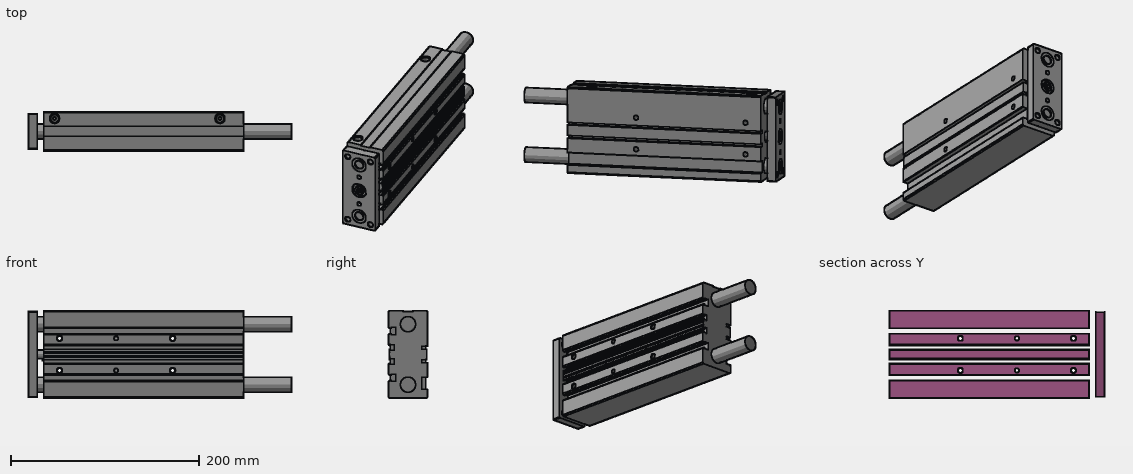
import cadquery as cq
import math


total_length = 279.5
plate_thickness = 9.5
housing_start = 16.2
housing_length = 212.5

housing_width = 42.0
housing_height = 93.0
half_width = housing_width / 2
half_height = housing_height / 2
corner_chamfer = 1.5

slot_lip = 1.5
outer_slot_low = 20.7
outer_slot_high = 29.0
outer_neck_depth = 3.0
outer_slot_depth = 7.8
inner_neck_depth = 2.2
inner_slot_depth = 6.1
undercut = 1.0
centre_land_half = 5.5
centre_land_drop = 0.8
front_inner_slot_half = 10.5
back_inner_slot_half = 8.7
vee_offset = 2.2
vee_width = 1.7
vee_depth = 0.42

back_slot_depth = 6.1
back_recess_low = -37.5
back_recess_high = -23.8
back_recess_lip = 0.5

top_recess_width = 10.5
top_recess_depth = 0.8

mount_hole_z = 17.0
mount_hole_offset = 16.8
mount_hole_pitch = 120.2
mount_hole_diameter = 5.0
mount_hole_mouth = 6.1
mount_mouth_depth = 0.5
dowel_diameter = 4.5
dowel_depth = 5.0
drill_point_angle = 118.0

port_y = 13.7
port_offset = 11.5
port_pitch = 175.8
port_diameter = 10.5
port_rim_chamfer = 1.0
port_depth = 10.0
port_duct_diameter = 3.4
port_cone_depth = 2.5
port_duct_depth = 5.5

boss_diameter = 1.7
boss_length = 1.7
boss_z = -6.0

guide_diameter = 16.2
guide_z = 32.1
guide_recess_diameter = 9.8
guide_recess_depth = 1.0
piston_diameter = 9.8
piston_bore_depth = 139.8
hex_flats = 5.0
hex_depth = 3.4

plate_width = 38.0
plate_height = 91.5
plate_chamfer = 0.8
plate_screw_y = 13.0
plate_screw_z = 39.0
plate_screw_diameter = 5.3
plate_screw_mouth = 6.5
plate_mouth_depth = 0.5
plate_dowel_z = 16.8
piston_recess_diameter = guide_diameter
piston_recess_depth = 3.4


def x_cylinder(diameter, start, length, y=0.0, z=0.0):
    """A cylinder along +X that starts at X = start."""
    base = cq.Vector(start, y, z)
    return cq.Workplane(cq.Solid.makeCylinder(diameter / 2, length, base, cq.Vector(1, 0, 0)))


def drilled_hole(diameter, depth, point, direction):
    """A blind hole with the conical end that a drill leaves."""
    start = cq.Vector(*point)
    axis = cq.Vector(*direction)
    radius = diameter / 2
    tip_length = radius / math.tan(math.radians(drill_point_angle / 2))
    bore = cq.Solid.makeCylinder(radius, depth, start, axis)
    tip = cq.Solid.makeCone(radius, 0, tip_length, start + axis * depth, axis)
    return cq.Workplane(bore).union(cq.Workplane(tip))


def chamfered_mouth(hole_diameter, mouth_diameter, depth, point, direction):
    """The conical lead-in of a hole."""
    start = cq.Vector(*point)
    axis = cq.Vector(*direction)
    cone = cq.Solid.makeCone(mouth_diameter / 2, hole_diameter / 2, depth, start, axis)
    return cq.Workplane(cone)


def along_housing(points):
    """A prism of the housing's length from an outline of (Y, Z) points."""
    return cq.Workplane("YZ", origin=(housing_start, 0, 0)).polyline(points).close().extrude(housing_length)


def housing_bar(y_low, y_high, z_low, z_high):
    """A rectangular prism of the housing's length."""
    return along_housing([(y_low, z_low), (y_high, z_low), (y_high, z_high), (y_low, z_high)])


def slot_undercut(low, high, neck_depth, depth):
    """The wide inner part of a front T slot whose neck spans low to high in Z."""
    return housing_bar(neck_depth - half_width, depth - half_width, low - undercut, high + undercut)


def outer_sensor_slot():
    """The upper T slot of the front side, with both lips chamfered."""
    neck_low = outer_slot_low + slot_lip
    neck_high = outer_slot_high - slot_lip
    neck = along_housing([
        (-half_width, outer_slot_low),
        (slot_lip - half_width, neck_low),
        (outer_neck_depth - half_width, neck_low),
        (outer_neck_depth - half_width, neck_high),
        (slot_lip - half_width, neck_high),
        (-half_width, outer_slot_high),
    ])
    return neck.union(slot_undercut(neck_low, neck_high, outer_neck_depth, outer_slot_depth))


def inner_sensor_slot():
    """The T slot next to the centre land, with only its outer lip chamfered."""
    neck_high = front_inner_slot_half - slot_lip
    neck = along_housing([
        (-half_width, centre_land_half),
        (inner_neck_depth - half_width, centre_land_half),
        (inner_neck_depth - half_width, neck_high),
        (slot_lip - half_width, neck_high),
        (-half_width, front_inner_slot_half),
    ])
    return neck.union(slot_undercut(centre_land_half, neck_high, inner_neck_depth, inner_slot_depth))


def land_vee():
    """One of the two V grooves in the front centre land."""
    land_y = centre_land_drop - half_width
    return along_housing([
        (land_y, vee_offset - vee_width / 2),
        (land_y + vee_depth, vee_offset),
        (land_y, vee_offset + vee_width / 2),
    ])


def cut_pair(body, upper_cut):
    """Cut a prism and its mirror image below Z = 0."""
    return body.cut(upper_cut).cut(upper_cut.mirror("XY"))


def cut_front_side(body):
    body = body.cut(housing_bar(-half_width, centre_land_drop - half_width, -centre_land_half, centre_land_half))
    for groove in (outer_sensor_slot(), inner_sensor_slot(), land_vee()):
        body = cut_pair(body, groove)
    return body


def cut_back_side(body):
    floor = half_width - back_slot_depth
    body = body.cut(housing_bar(half_width - centre_land_drop, half_width, -centre_land_half, centre_land_half))
    body = cut_pair(body, housing_bar(floor, half_width, centre_land_half, back_inner_slot_half))
    lip_y = half_width - back_recess_lip
    return body.cut(along_housing([
        (half_width, back_recess_low),
        (lip_y, back_recess_low + back_recess_lip),
        (floor, back_recess_low + back_recess_lip),
        (floor, back_recess_high - back_recess_lip),
        (lip_y, back_recess_high - back_recess_lip),
        (half_width, back_recess_high),
    ]))


def cut_top_recess(body):
    recess_half = top_recess_width / 2
    return body.cut(housing_bar(-recess_half, recess_half, half_height - top_recess_depth, half_height))


def cut_mounting_holes(body):
    """Four screw holes through the width, and a dowel hole midway in each row."""
    inward = (0, 1, 0)
    first_x = housing_start + mount_hole_offset
    for z in (-mount_hole_z, mount_hole_z):
        for x in (first_x, first_x + mount_hole_pitch):
            front = (x, -half_width, z)
            hole = cq.Solid.makeCylinder(
                mount_hole_diameter / 2, housing_width, cq.Vector(*front), cq.Vector(*inward))
            body = body.cut(cq.Workplane(hole))
            body = body.cut(chamfered_mouth(
                mount_hole_diameter, mount_hole_mouth, mount_mouth_depth, front, inward))
        dowel_x = first_x + mount_hole_pitch / 2
        body = body.cut(drilled_hole(dowel_diameter, dowel_depth, (dowel_x, -half_width, z), inward))
    return body


def cut_air_ports(body):
    down = (0, 0, -1)
    axis = cq.Vector(*down)
    bore_radius = port_diameter / 2 - port_rim_chamfer
    for x in (housing_start + port_offset, housing_start + port_offset + port_pitch):
        rim = (x, port_y, half_height)
        body = body.cut(chamfered_mouth(
            2 * bore_radius, port_diameter, port_rim_chamfer, rim, down))
        bore_end = cq.Vector(x, port_y, half_height - port_depth)
        bore = cq.Solid.makeCylinder(bore_radius, port_depth, cq.Vector(*rim), axis)
        cone = cq.Solid.makeCone(bore_radius, port_duct_diameter / 2, port_cone_depth, bore_end, axis)
        duct = cq.Solid.makeCylinder(port_duct_diameter / 2, port_cone_depth + port_duct_depth, bore_end, axis)
        for cutter in (bore, cone, duct):
            body = body.cut(cq.Workplane(cutter))
    return body


def make_housing():
    body = housing_bar(-half_width, half_width, -half_height, half_height)
    body = body.edges("|X").chamfer(corner_chamfer)
    body = cut_front_side(body)
    body = cut_back_side(body)
    body = cut_top_recess(body)
    for z in (-guide_z, guide_z):
        body = body.cut(x_cylinder(guide_diameter, housing_start, housing_length, z=z))
    body = body.cut(x_cylinder(piston_diameter, housing_start, piston_bore_depth))
    body = cut_mounting_holes(body)
    body = cut_air_ports(body)
    return body.union(x_cylinder(boss_diameter, housing_start - boss_length, boss_length, z=boss_z))


def make_plate():
    plate = cq.Workplane("YZ").rect(plate_width, plate_height).extrude(plate_thickness)
    plate = plate.edges("|X").chamfer(plate_chamfer)
    for z in (-guide_z, guide_z):
        plate = plate.cut(x_cylinder(guide_diameter, 0, plate_thickness, z=z))
    plate = plate.cut(x_cylinder(piston_diameter, 0, plate_thickness))
    plate = plate.cut(x_cylinder(piston_recess_diameter, 0, piston_recess_depth))
    for y in (-plate_screw_y, plate_screw_y):
        for z in (-plate_screw_z, plate_screw_z):
            plate = plate.cut(x_cylinder(plate_screw_diameter, 0, plate_thickness, y, z))
            plate = plate.cut(chamfered_mouth(
                plate_screw_diameter, plate_screw_mouth, plate_mouth_depth, (0, y, z), (1, 0, 0)))
    for z in (-plate_dowel_z, plate_dowel_z):
        plate = plate.cut(drilled_hole(dowel_diameter, dowel_depth, (0, 0, z), (1, 0, 0)))
    return plate


def make_guide_rod(z):
    """A guide rod flush with the plate, with a shallow round recess in its front end."""
    rod = x_cylinder(guide_diameter, 0, total_length, z=z)
    return rod.cut(x_cylinder(guide_recess_diameter, 0, guide_recess_depth, z=z))


def make_piston_rod():
    """The piston rod, with a hexagon socket in its front end."""
    rod = x_cylinder(piston_diameter, 0, housing_start + piston_bore_depth)
    hex_corners = hex_flats / math.cos(math.pi / 6)
    return rod.cut(cq.Workplane("YZ").polygon(6, hex_corners).extrude(hex_depth))


housing = make_housing()
plate = make_plate()
guide_rods = [make_guide_rod(z) for z in (-guide_z, guide_z)]
piston_rod = make_piston_rod()

result = cq.Compound.makeCompound([
    housing.val(),
    plate.val(),
    *[rod.val() for rod in guide_rods],
    piston_rod.val(),
])